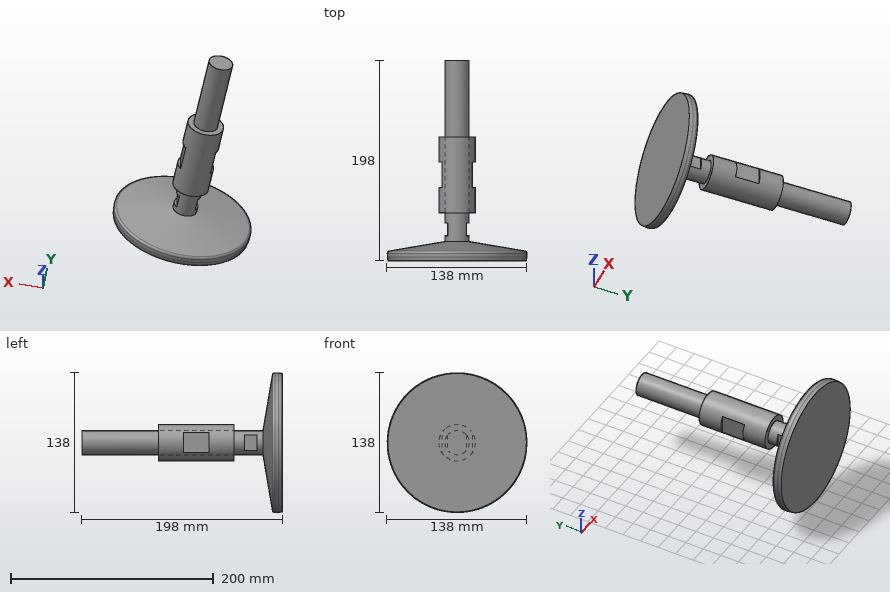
import cadquery as cq

OVERALL_LENGTH = 198.0
SPINDLE_RADIUS = 24.0 / 2

DISC_RADIUS = 138.0 / 2
UNDERSIDE_RADIUS = DISC_RADIUS - 0.5
DRAFT_HEIGHT = 4.0
SHOULDER_HEIGHT = 9.5
CONE_TOP = 19.2
RIM_FILLET = 2.4

SPINDLE_FLAT_START = 25.0
SPINDLE_FLAT_LENGTH = 12.5
SPINDLE_FLAT_WIDTH = 18.6

SLEEVE_RADIUS = 36.0 / 2
SLEEVE_START = 47.5
SLEEVE_LENGTH = 75.0
SLEEVE_FLAT_LENGTH = SLEEVE_LENGTH / 3
SLEEVE_FLAT_START = SLEEVE_START + (SLEEVE_LENGTH - SLEEVE_FLAT_LENGTH) / 2
SLEEVE_FLAT_WIDTH = 30.0


def rod(radius, start, length):
    """Cylinder along +Y, beginning at Y = start."""
    return cq.Workplane("XZ", origin=(0, start, 0)).circle(radius).extrude(-length)


def cut_flats(body, radius, width, start, length):
    """Cut two opposite flats, facing -X and +X, into a round body."""
    depth = radius - width / 2
    for side in (-1, 1):
        cutter = cq.Workplane("XY").box(depth, length, 2 * radius).translate(
            (side * (width + depth) / 2, start + length / 2, 0)
        )
        body = body.cut(cutter)
    return body


def make_foot():
    """Conical disc with a spindle that carries a pair of wrench flats."""
    disc = (
        cq.Workplane("XY")
        .moveTo(0, 0)
        .lineTo(UNDERSIDE_RADIUS, 0)
        .lineTo(DISC_RADIUS, DRAFT_HEIGHT)
        .lineTo(DISC_RADIUS, SHOULDER_HEIGHT)
        .lineTo(SPINDLE_RADIUS, CONE_TOP)
        .lineTo(0, CONE_TOP)
        .close()
        .revolve(360, (0, 0, 0), (0, 1, 0))
    )
    rim_point = (0, SHOULDER_HEIGHT, DISC_RADIUS)
    disc = disc.edges(cq.selectors.NearestToPointSelector(rim_point)).fillet(RIM_FILLET)
    spindle = cut_flats(
        rod(SPINDLE_RADIUS, CONE_TOP, OVERALL_LENGTH - CONE_TOP),
        SPINDLE_RADIUS,
        SPINDLE_FLAT_WIDTH,
        SPINDLE_FLAT_START,
        SPINDLE_FLAT_LENGTH,
    )
    return disc.union(spindle)


def make_sleeve():
    """Sleeve on the spindle, bored right through, with its own wrench flats."""
    sleeve = rod(SLEEVE_RADIUS, SLEEVE_START, SLEEVE_LENGTH)
    bore = rod(SPINDLE_RADIUS, SLEEVE_START, SLEEVE_LENGTH)
    return cut_flats(
        sleeve.cut(bore),
        SLEEVE_RADIUS,
        SLEEVE_FLAT_WIDTH,
        SLEEVE_FLAT_START,
        SLEEVE_FLAT_LENGTH,
    )


foot = make_foot()
sleeve = make_sleeve()
result = cq.Compound.makeCompound([foot.val(), sleeve.val()])